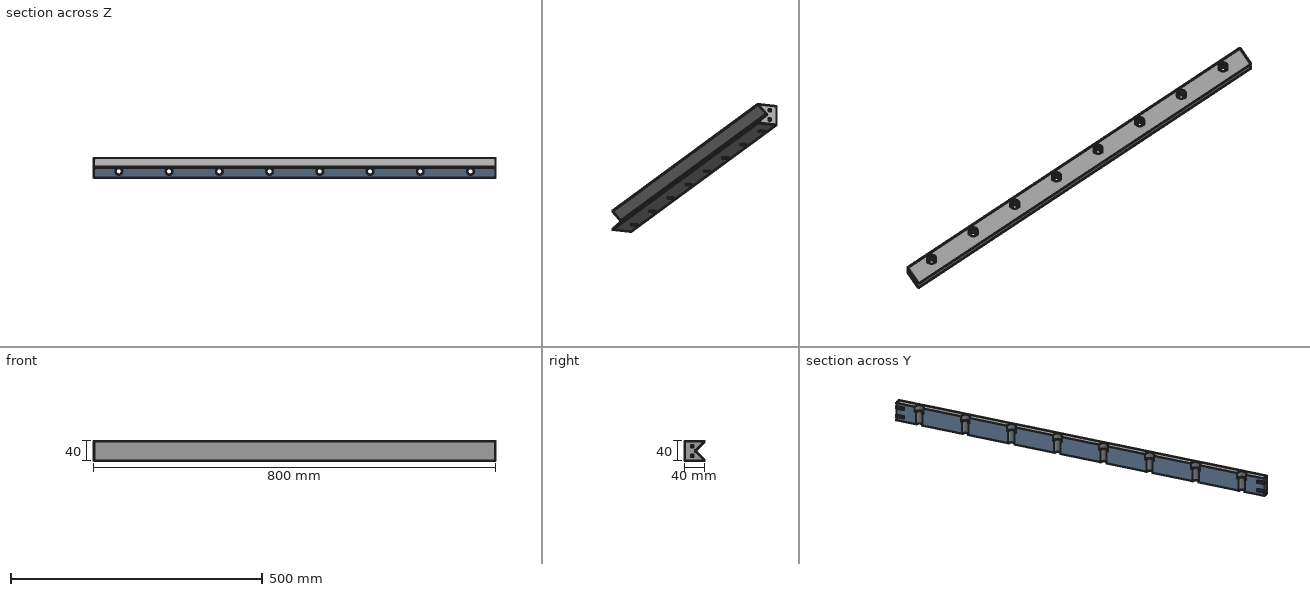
import cadquery as cq

length = 800.0
width = 40.0
height = 40.0
edge_chamfer = 1.2

lip_thickness = 2.0
groove_half_opening = height / 2 - lip_thickness
relief_width = 2.0
relief_depth = 19.0

hole_count = 8
hole_pitch = length / hole_count
hole_offset = 6.8
hole_diameter = 13.0
counterbore_diameter = 18.0
counterbore_depth = 12.0

end_hole_diameter = 5.3
end_hole_depth = 16.0
end_hole_offset = 5.0
end_hole_spacing = 19.0


def make_body():
    """Bar centred on the origin, chamfered around both ends and the -Y face."""
    bar = cq.Workplane("XY").box(length, width, height)
    return bar.faces("<Y or <X or >X").edges().chamfer(edge_chamfer)


def make_groove():
    """Square V groove and the narrow relief slot at its root."""
    groove_face = width / 2
    v_groove = (
        cq.Workplane("YZ")
        .moveTo(groove_face, groove_half_opening)
        .lineTo(groove_face - groove_half_opening, 0)
        .lineTo(groove_face, -groove_half_opening)
        .close()
        .extrude(length / 2, both=True)
    )
    relief = cq.Workplane("XY").box(length, relief_depth, relief_width)
    relief = relief.translate((0, groove_face - relief_depth / 2, 0))
    return v_groove.union(relief)


def drill_mounting_holes(body):
    """Row of counterbored through holes, evenly spaced along X."""
    return (
        body.faces(">Z")
        .workplane(origin=(0, -hole_offset, 0))
        .rarray(hole_pitch, 8, hole_count, 1)
        .cboreHole(hole_diameter, counterbore_diameter, counterbore_depth)
    )


def drill_end_holes(body):
    """Two blind holes, one above the other, in each end face."""
    for end in ("<X", ">X"):
        body = (
            body.faces(end)
            .workplane(origin=(0, -end_hole_offset, 0))
            .rarray(8, end_hole_spacing, 1, 2)
            .hole(end_hole_diameter, end_hole_depth)
        )
    return body


rail = make_body().cut(make_groove())
rail = drill_mounting_holes(rail)
result = drill_end_holes(rail)